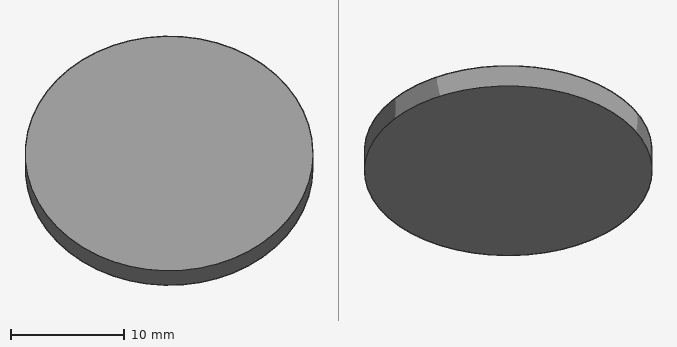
import cadquery as cq

diameter = 25.4
center_thickness = 2.91
edge_thickness = 2.22

rim_radius = diameter / 2
half_center = center_thickness / 2
half_edge = edge_thickness / 2

sag = half_center - half_edge
surface_radius = (rim_radius**2 + sag**2) / (2 * sag)


def surface_height(distance):
    """Height of the upper spherical face at a distance from the optical axis."""
    drop = surface_radius - (surface_radius**2 - distance**2) ** 0.5
    return half_center - drop


def lens_profile():
    """Half section in the XZ plane, from the optical axis out to the -X rim."""
    arc_middle = rim_radius / 2
    arc_height = surface_height(arc_middle)
    return (
        cq.Workplane("XZ")
        .moveTo(0, -half_center)
        .threePointArc((-arc_middle, -arc_height), (-rim_radius, -half_edge))
        .lineTo(-rim_radius, half_edge)
        .threePointArc((-arc_middle, arc_height), (0, half_center))
        .close()
    )


result = lens_profile().revolve(360, (0, 0, 0), (0, 1, 0))